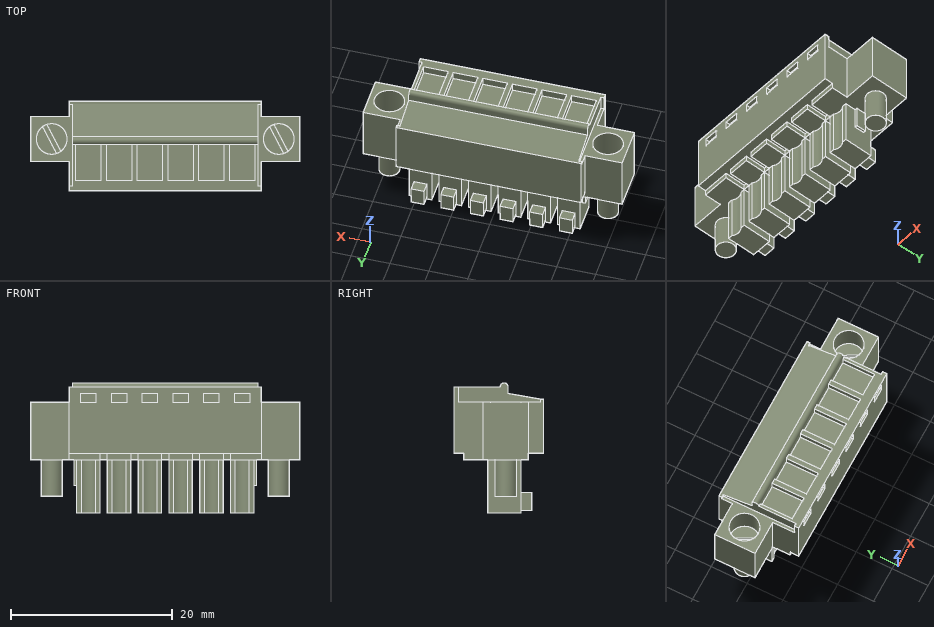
import cadquery as cq
import math


POLE_COUNT = 6
POLE_SPAN = 19.02
POLE_PITCH = POLE_SPAN / (POLE_COUNT - 1)
POLE_XS = [i * POLE_PITCH - POLE_SPAN / 2 for i in range(POLE_COUNT)]

TOTAL_LENGTH = 33.25
HOUSING_LENGTH = 23.75
FRONT_Y = -6.42
BACK_Y = 4.7
TOP_Z = 9.0
STEP_Z = 0.8
STEP_FRONT_Y = -5.22
EAR_DEPTH = 5.62
EAR_TOP_Z = 7.1

RIM_Y = 4.3
RIM_Z = 7.5
SLOPE_ANGLE = 10.0
BEAD_RADIUS = 0.5
BEAD_Y = -0.2
BEAD_BACK_Y = BEAD_Y + BEAD_RADIUS
BEAD_FRONT_Y = BEAD_Y - BEAD_RADIUS
SLOPE_TOP_Z = RIM_Z + (RIM_Y - BEAD_BACK_Y) * math.tan(math.radians(SLOPE_ANGLE))

SIDE_RECESS_DEPTH = 0.4
SIDE_RECESS_FRONT_Y = -5.82

POCKET_WIDTH = 3.15
POCKET_FRONT_Y = -5.12
POCKET_DEPTH = 1.03
WINDOW_WIDTH = 1.93
WINDOW_BOTTOM_Z = 7.08
WINDOW_TOP_Z = 8.2
WINDOW_DEPTH = 0.55

PRONG_WIDTH = 2.93
PRONG_FRONT_Y = -2.23
PRONG_BACK_Y = 1.9
PRONG_LENGTH = 6.6
GROOVE_WIDTH = 1.73
GROOVE_DEPTH = 0.3
CATCH_WIDTH = 1.65
CATCH_DEPTH = 1.33
CATCH_TOP_Z = -4.02
CATCH_BOTTOM_Z = -6.3
RAIL_THICKNESS = 0.33
RAIL_DEPTH = 1.4
RAIL_LENGTH = 3.2

SCREW_X = 14.03
HEAD_DIAMETER = 3.8
HEAD_BOTTOM_Z = 2.0
HEAD_TOP_Z = 3.32
SHANK_DIAMETER = 2.63
SHANK_BOTTOM_Z = -4.52
SLOT_WIDTH = 0.6
SLOT_DEPTH = 0.5
SLOT_ANGLE = 117.5


def block(x_range, y_range, z_range):
    """Box between two limits along each axis."""
    (x0, x1), (y0, y1), (z0, z1) = x_range, y_range, z_range
    return cq.Workplane("XY").box(x1 - x0, y1 - y0, z1 - z0, centered=False).translate((x0, y0, z0))


def centered_range(center, width):
    return center - width / 2, center + width / 2


def cylinder(x, diameter, bottom_z, top_z):
    """Upright cylinder with its axis on the Y = 0 plane."""
    return cq.Workplane("XY", origin=(x, 0, bottom_z)).circle(diameter / 2).extrude(top_z - bottom_z)


def housing_profile():
    """Side outline of the housing, extruded along the row of poles."""
    step_back_y = EAR_DEPTH / 2
    return (
        cq.Workplane("YZ", origin=(-HOUSING_LENGTH / 2, 0, 0))
        .moveTo(STEP_FRONT_Y, 0)
        .lineTo(STEP_FRONT_Y, STEP_Z)
        .lineTo(FRONT_Y, STEP_Z)
        .lineTo(FRONT_Y, TOP_Z)
        .lineTo(BEAD_FRONT_Y, TOP_Z)
        .threePointArc((BEAD_Y, TOP_Z + BEAD_RADIUS), (BEAD_BACK_Y, TOP_Z))
        .lineTo(BEAD_BACK_Y, SLOPE_TOP_Z)
        .lineTo(RIM_Y, RIM_Z)
        .lineTo(BACK_Y, RIM_Z)
        .lineTo(BACK_Y, STEP_Z)
        .lineTo(step_back_y, STEP_Z)
        .lineTo(step_back_y, 0)
        .close()
        .extrude(HOUSING_LENGTH)
    )


def make_housing():
    body = housing_profile()

    recess_z = (EAR_TOP_Z, TOP_Z + 2 * BEAD_RADIUS)
    inner_x = HOUSING_LENGTH / 2 - SIDE_RECESS_DEPTH
    for x_range in ((-HOUSING_LENGTH / 2, -inner_x), (inner_x, HOUSING_LENGTH / 2)):
        body = body.cut(block(x_range, (SIDE_RECESS_FRONT_Y, RIM_Y), recess_z))

    for x in POLE_XS:
        pocket_y = (POCKET_FRONT_Y, BEAD_FRONT_Y)
        body = body.cut(block(centered_range(x, POCKET_WIDTH), pocket_y, (TOP_Z - POCKET_DEPTH, TOP_Z)))
        window_y = (FRONT_Y, FRONT_Y + WINDOW_DEPTH)
        window_z = (WINDOW_BOTTOM_Z, WINDOW_TOP_Z)
        body = body.cut(block(centered_range(x, WINDOW_WIDTH), window_y, window_z))

    for x in POLE_XS[:-1]:
        notch_x = centered_range(x + POLE_PITCH / 2, POLE_PITCH - PRONG_WIDTH)
        body = body.cut(block(notch_x, (STEP_FRONT_Y, PRONG_FRONT_Y), (0, STEP_Z)))

    ear_y = centered_range(0, EAR_DEPTH)
    for x_range in ((-TOTAL_LENGTH / 2, -HOUSING_LENGTH / 2), (HOUSING_LENGTH / 2, TOTAL_LENGTH / 2)):
        body = body.union(block(x_range, ear_y, (0, EAR_TOP_Z)))
    for x in (-SCREW_X, SCREW_X):
        body = body.cut(cylinder(x, SHANK_DIAMETER, 0, EAR_TOP_Z))
        body = body.cut(cylinder(x, HEAD_DIAMETER, HEAD_BOTTOM_Z, EAR_TOP_Z))
    return body


def make_prong(x, rail_side):
    """Prong of one pole; rail_side is -1 or 1 for a rail on that side, or 0 for none."""
    body = block(centered_range(x, PRONG_WIDTH), (PRONG_FRONT_Y, PRONG_BACK_Y), (-PRONG_LENGTH, 0))
    catch_y = (PRONG_BACK_Y, PRONG_BACK_Y + CATCH_DEPTH)
    body = body.union(block(centered_range(x, CATCH_WIDTH), catch_y, (CATCH_BOTTOM_Z, CATCH_TOP_Z)))
    if rail_side:
        rail_x = x + rail_side * (PRONG_WIDTH + RAIL_THICKNESS) / 2
        rail_y = centered_range(0, RAIL_DEPTH)
        body = body.union(block(centered_range(rail_x, RAIL_THICKNESS), rail_y, (-RAIL_LENGTH, 0)))

    groove = (
        cq.Workplane("XY", origin=(x, PRONG_FRONT_Y, 0))
        .moveTo(-GROOVE_WIDTH / 2, 0)
        .threePointArc((0, GROOVE_DEPTH), (GROOVE_WIDTH / 2, 0))
        .close()
        .extrude(-PRONG_LENGTH)
    )
    return body.cut(groove)


def make_screw(x):
    shank = cylinder(x, SHANK_DIAMETER, SHANK_BOTTOM_Z, HEAD_BOTTOM_Z)
    head = cylinder(x, HEAD_DIAMETER, HEAD_BOTTOM_Z, HEAD_TOP_Z)
    slot = (
        cq.Workplane("XY", origin=(x, 0, HEAD_TOP_Z))
        .transformed(rotate=(0, 0, SLOT_ANGLE))
        .rect(HEAD_DIAMETER, SLOT_WIDTH)
        .extrude(-SLOT_DEPTH)
    )
    return shank.union(head).cut(slot)


housing = make_housing()

prongs = []
for index, pole_x in enumerate(POLE_XS):
    if index == 0:
        side = -1
    elif index == POLE_COUNT - 1:
        side = 1
    else:
        side = 0
    prongs.append(make_prong(pole_x, side))

screws = [make_screw(x) for x in (-SCREW_X, SCREW_X)]

result = cq.Compound.makeCompound([body.val() for body in [housing, *prongs, *screws]])